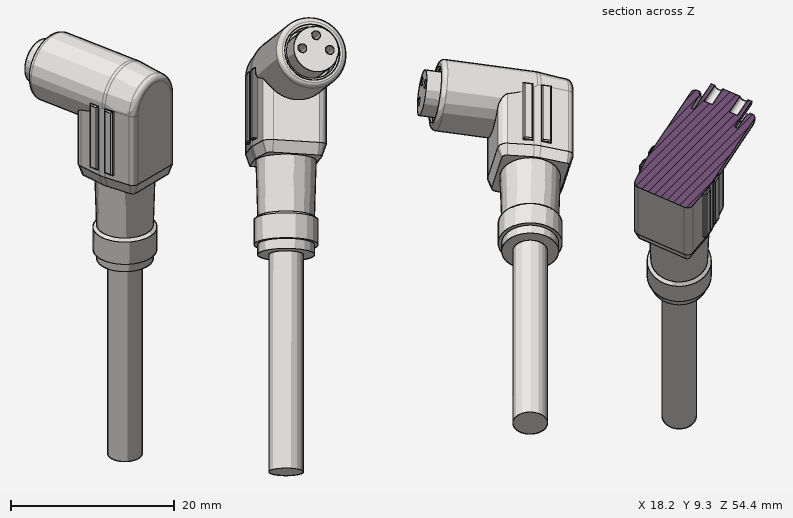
import cadquery as cq
import math


TOTAL_LENGTH = 54.4

BARREL_RADIUS = 4.4
BARREL_FRONT_X = -11.8
BARREL_RIM_FILLET = 0.6
INSERT_FRONT_X = -13.5
INSERT_RADIUS = 2.85
MOUTH_RADIUS = 3.5
MOUTH_DEPTH = 0.25
GROOVE_RADIUS = 3.2
GROOVE_DEPTH = 2.7
CONTACT_RADIUS = 0.55
CONTACT_OFFSET = 1.75
CONTACT_DEPTH = 2.7

HOUSING_HALF_LENGTH = 4.7
HOUSING_BASE_Z = -9.6
CROWN_HALF_LENGTH = 0.45
SIDE_TAPER = math.radians(6.0)
REAR_FILLET = 0.8
FRONT_FILLET = 1.15
SKIRT_BOTTOM_Z = -11.05
SKIRT_TAPER_DEG = 19.0

RIB_SPAN = 9.3
RIB_WIDTH = 1.25
RIB_CENTRES_X = (-1.2, 1.1)
RIB_BOTTOM_Z = -8.85
RIB_CHAMFER = 0.15

SLEEVE_TOP_RADIUS = 3.7
SLEEVE_END_RADIUS = 3.5
COLLAR_RADIUS = 3.9
SLEEVE_END_Z = -18.1
COLLAR_TOP_Z = -18.45
COLLAR_BOTTOM_Z = -21.55
RING_BOTTOM_Z = -22.8
CABLE_RADIUS = 2.1
CABLE_END_Z = BARREL_RADIUS - TOTAL_LENGTH

crown_radius = CROWN_HALF_LENGTH / math.sin(SIDE_TAPER)
crown_edge_y = BARREL_RADIUS - crown_radius * (1 - math.cos(SIDE_TAPER))
corner_y = crown_edge_y - (HOUSING_HALF_LENGTH - CROWN_HALF_LENGTH) * math.tan(SIDE_TAPER)


def cylinder_x(radius, start_x, end_x, y=0.0, z=0.0):
    """Cylinder along X between two X positions."""
    start = cq.Workplane("YZ", origin=(start_x, y, z))
    return start.circle(radius).extrude(end_x - start_x)


def make_barrel():
    """Round barrel up to the cable axis, with a rounded rim at its open end."""
    barrel = cylinder_x(BARREL_RADIUS, BARREL_FRONT_X, 0)
    return barrel.faces("<X").edges().fillet(BARREL_RIM_FILLET)


def make_cap():
    """Tapered rounded rear end of the barrel."""
    profile = (
        cq.Workplane("XY")
        .lineTo(0, BARREL_RADIUS)
        .radiusArc((CROWN_HALF_LENGTH, crown_edge_y), crown_radius)
        .lineTo(HOUSING_HALF_LENGTH, corner_y)
        .lineTo(HOUSING_HALF_LENGTH, 0)
        .close()
    )
    cap = profile.revolve(360, (0, 0, 0), (1, 0, 0))
    return cap.faces(">X").edges().fillet(REAR_FILLET)


def make_housing():
    """Upright block with sides tapered both ways from a crown, ending in a drafted skirt."""
    block = (
        cq.Workplane("XY")
        .moveTo(-HOUSING_HALF_LENGTH, corner_y)
        .lineTo(-CROWN_HALF_LENGTH, crown_edge_y)
        .threePointArc((0, BARREL_RADIUS), (CROWN_HALF_LENGTH, crown_edge_y))
        .lineTo(HOUSING_HALF_LENGTH, corner_y)
        .lineTo(HOUSING_HALF_LENGTH, -corner_y)
        .lineTo(CROWN_HALF_LENGTH, -crown_edge_y)
        .threePointArc((0, -BARREL_RADIUS), (-CROWN_HALF_LENGTH, -crown_edge_y))
        .lineTo(-HOUSING_HALF_LENGTH, -corner_y)
        .close()
        .extrude(HOUSING_BASE_Z)
    )
    block = block.edges("|Z and >X").fillet(REAR_FILLET)
    block = block.edges("|Z and <X").fillet(FRONT_FILLET)
    skirt_height = HOUSING_BASE_Z - SKIRT_BOTTOM_Z
    skirt = block.faces("<Z").wires().toPending().workplane().extrude(
        skirt_height, taper=SKIRT_TAPER_DEG, combine=False
    )
    return block.union(skirt)


def make_rib(centre_x):
    """Grip rib through the housing, standing proud on both sides with chamfered faces."""
    rib = cq.Workplane("XY").box(
        RIB_WIDTH, RIB_SPAN, -RIB_BOTTOM_Z, centered=(True, True, False)
    )
    rib = rib.faces("<Y or >Y").edges().chamfer(RIB_CHAMFER)
    return rib.translate((centre_x, 0, RIB_BOTTOM_Z))


def make_sleeve_and_cable():
    """Turned sleeve, collar, end ring and cable around Z."""
    return (
        cq.Workplane("XZ")
        .moveTo(0, SKIRT_BOTTOM_Z)
        .lineTo(SLEEVE_TOP_RADIUS, SKIRT_BOTTOM_Z)
        .lineTo(SLEEVE_END_RADIUS, SLEEVE_END_Z)
        .lineTo(COLLAR_RADIUS, COLLAR_TOP_Z)
        .lineTo(COLLAR_RADIUS, COLLAR_BOTTOM_Z)
        .lineTo(SLEEVE_END_RADIUS, COLLAR_BOTTOM_Z)
        .lineTo(SLEEVE_END_RADIUS, RING_BOTTOM_Z)
        .lineTo(CABLE_RADIUS, RING_BOTTOM_Z)
        .lineTo(CABLE_RADIUS, CABLE_END_Z)
        .lineTo(0, CABLE_END_Z)
        .close()
        .revolve(360, (0, 0, 0), (0, 1, 0))
    )


body = make_barrel().union(make_cap()).union(make_housing())
for rib_x in RIB_CENTRES_X:
    body = body.union(make_rib(rib_x))
body = body.union(make_sleeve_and_cable())

mouth_floor_x = BARREL_FRONT_X + MOUTH_DEPTH
groove_floor_x = BARREL_FRONT_X + GROOVE_DEPTH
body = body.cut(cylinder_x(MOUTH_RADIUS, BARREL_FRONT_X, mouth_floor_x))
body = body.cut(cylinder_x(GROOVE_RADIUS, BARREL_FRONT_X, groove_floor_x))
body = body.union(cylinder_x(INSERT_RADIUS, INSERT_FRONT_X, groove_floor_x))

contact_end_x = INSERT_FRONT_X + CONTACT_DEPTH
for angle_deg in (0, 90, 180):
    angle = math.radians(angle_deg)
    hole_y = CONTACT_OFFSET * math.cos(angle)
    hole_z = CONTACT_OFFSET * math.sin(angle)
    body = body.cut(cylinder_x(CONTACT_RADIUS, INSERT_FRONT_X, contact_end_x, hole_y, hole_z))

result = body